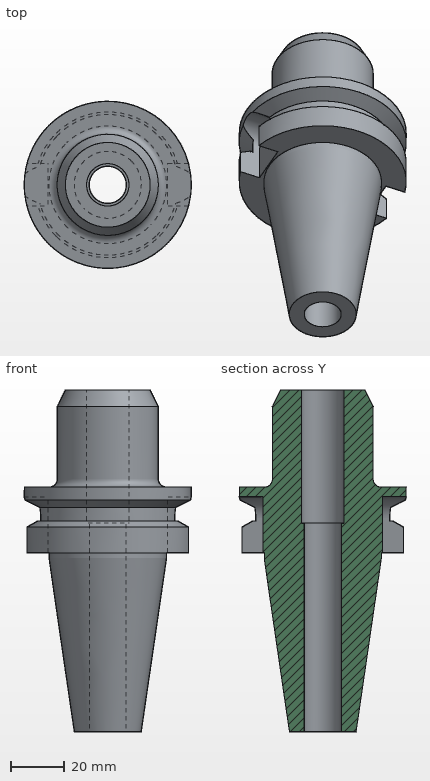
import cadquery as cq
import math

total_height = 128.9
gauge_height = 65.4
flange_bottom = 67.4
flange_top = 92.3

gauge_radius = 22.2
taper_rate = 7 / 24
taper_tip_radius = gauge_radius - gauge_height * taper_rate / 2

flange_radius = 63.0 / 2
groove_radius = 26.5
lower_bevel_bottom = 77.2
lower_bevel_top = 79.5
upper_bevel_top = 87.4
bevel_angle = math.radians(60)
lower_bevel_radius = flange_radius - (lower_bevel_top - lower_bevel_bottom) * math.tan(bevel_angle)
upper_bevel_bottom = upper_bevel_top - (flange_radius - groove_radius) / math.tan(bevel_angle)

nose_radius = 19.1
nose_root_fillet = 3.0
nose_tip_radius = 16.0
nose_bevel_bottom = 122.6

tool_bore_radius = 8.0
tool_bore_depth = 50.3
drawbar_hole_radius = 7.0

slot_width = 16.1
slot_floor_distance = 22.5
slot_top = 88.5


def make_body():
    """Revolve the outer outline, drawn as (radius, height), about the Z axis."""
    fillet_sag = nose_root_fillet * (1 - math.sqrt(0.5))
    return (
        cq.Workplane("XZ")
        .moveTo(0, 0)
        .lineTo(taper_tip_radius, 0)
        .lineTo(gauge_radius, gauge_height)
        .lineTo(gauge_radius, flange_bottom)
        .lineTo(flange_radius, flange_bottom)
        .lineTo(flange_radius, lower_bevel_bottom)
        .lineTo(lower_bevel_radius, lower_bevel_top)
        .lineTo(groove_radius, lower_bevel_top)
        .lineTo(groove_radius, upper_bevel_bottom)
        .lineTo(flange_radius, upper_bevel_top)
        .lineTo(flange_radius, flange_top)
        .lineTo(nose_radius + nose_root_fillet, flange_top)
        .threePointArc(
            (nose_radius + fillet_sag, flange_top + fillet_sag),
            (nose_radius, flange_top + nose_root_fillet),
        )
        .lineTo(nose_radius, nose_bevel_bottom)
        .lineTo(nose_tip_radius, total_height)
        .lineTo(0, total_height)
        .close()
        .revolve(360, (0, 0), (0, 1))
    )


def make_bore():
    """Drawbar hole right through, widened from the nose to hold the tool."""
    drawbar_hole = cq.Workplane("XY").circle(drawbar_hole_radius).extrude(total_height)
    tool_bore = (
        cq.Workplane("XY", origin=(0, 0, total_height))
        .circle(tool_bore_radius)
        .extrude(-tool_bore_depth)
    )
    return drawbar_hole.union(tool_bore)


def make_drive_slot(side):
    """Round-topped slot, open at the flange bottom, on the +X (1) or -X (-1) side."""
    half_width = slot_width / 2
    arc_start = slot_top - half_width
    return (
        cq.Workplane("YZ", origin=(side * slot_floor_distance, 0, 0))
        .moveTo(-half_width, flange_bottom)
        .lineTo(half_width, flange_bottom)
        .lineTo(half_width, arc_start)
        .threePointArc((0, slot_top), (-half_width, arc_start))
        .close()
        .extrude(side * flange_radius)
    )


result = make_body().cut(make_bore())
for side in (-1, 1):
    result = result.cut(make_drive_slot(side))